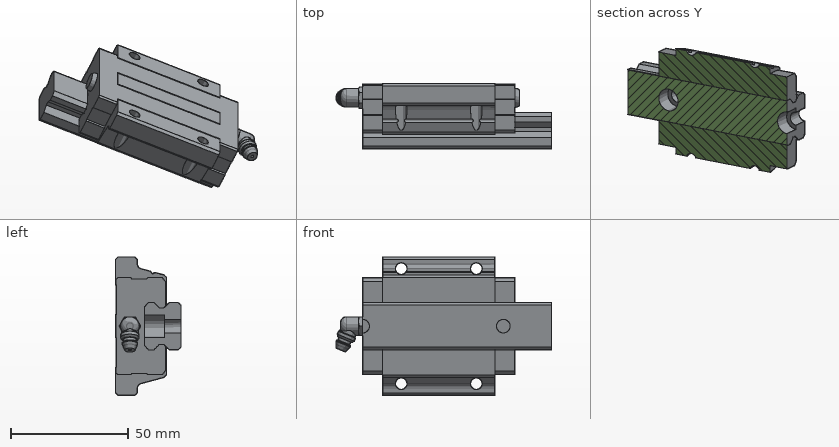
import cadquery as cq
import math


rail_half_width = 10.1
rail_height = 15.5
rail_start = -32.5
rail_end = 48.1
rail_foot_chamfer = 1.2
rail_foot_top = 5.0
groove_bottom_low = 7.45
groove_bottom_high = 9.2
groove_half_width = 7.7
rail_head_low = 11.6
rail_head_chamfer_start = 13.9
rail_head_half_width = 8.3

rail_hole_pitch = 60.0
rail_hole_diameter = 5.8
rail_counterbore_diameter = 9.5
rail_counterbore_floor = 7.0

total_height = 28.0
block_half_length = 23.9
block_half_width = 29.5
block_bottom = 6.2
flange_bottom = 18.6
flange_chamfer = 1.1
flank_angle = 15.0
flank_foot_half_width = 21.9
flank_chamfer = 1.1
flange_fillet = 2.0

relief_depth = 0.3
relief_inner = 4.9
relief_outer = 17.6

reference_groove_radius = 0.7
reference_groove_height = 12.05

flange_hole_diameter = 4.9
flange_hole_spacing_x = 32.0
flange_hole_spacing_z = 49.0

cap_end = -rail_start
cap_top = total_height - relief_depth
cap_bottom = 6.7
cap_half_width = 20.7
cap_top_chamfer = 0.7
cap_bottom_chamfer_height = 1.3
cap_bottom_chamfer_width = 1.7
cap_recess_depth = 0.55
cap_recess_low = 14.2
cap_recess_high = 21.3
cap_recess_step = 0.3

fitting_height = 21.8
hex_across_flats = 8.0
hex_length = 1.75
hex_bevel_length = 0.4
elbow_diameter = 8.0
elbow_end = -41.9
elbow_fillet = 2.6
nipple_tilt = 22.5
nipple_origin_x = -37.6
stem_radius = 3.6
collar_radius = 4.0
collar_foot_radius = 3.3
neck_radius = 2.8
head_radius = 3.3
taper_radius = 2.85
tip_radius = 2.2
grease_hole_diameter = 1.2
grease_hole_depth = 1.8

stem_end = 3.7
collar_start = 4.0
collar_end = 5.3
neck_start = 6.25
neck_end = 7.45
head_start = 7.8
head_end = 8.3
taper_end = 9.5
nipple_length = 11.0

plug_diameter = 8.2
plug_face_diameter = 6.6
plug_length = 2.0


def extrude_along_x(upper_half, x_start, x_end):
    """Solid from x_start to x_end; upper_half lists (y, z) points, mirrored about Z = 0."""
    lower_half = [(y, -z) for y, z in reversed(upper_half)]
    outline = cq.Workplane("YZ", origin=(x_start, 0, 0)).polyline(upper_half + lower_half).close()
    return outline.extrude(x_end - x_start)


def cylinder_along_x(diameter, x_start, x_end):
    """Cylinder on the common axis of the fitting and the plug."""
    plane = cq.Workplane("YZ", origin=(x_start, fitting_height, 0))
    return plane.circle(diameter / 2).extrude(x_end - x_start)


def make_rail_bar():
    """Rail profile without its screw holes."""
    profile = [
        (0, rail_half_width - rail_foot_chamfer),
        (rail_foot_chamfer, rail_half_width),
        (rail_foot_top, rail_half_width),
        (groove_bottom_low, groove_half_width),
        (groove_bottom_high, groove_half_width),
        (rail_head_low, rail_half_width),
        (rail_head_chamfer_start, rail_half_width),
        (rail_height, rail_head_half_width),
    ]
    return extrude_along_x(profile, rail_start, rail_end)


def make_rail():
    """Rail with counterbored screw holes; the first one is halved by the end face."""
    rail = make_rail_bar()
    hole_places = [(rail_start, 0), (rail_start + rail_hole_pitch, 0)]
    foot = cq.Workplane("XZ").pushPoints(hole_places)
    seat = cq.Workplane("XZ", origin=(0, rail_counterbore_floor, 0)).pushPoints(hole_places)
    holes = foot.circle(rail_hole_diameter / 2).extrude(-rail_height)
    counterbores = seat.circle(rail_counterbore_diameter / 2).extrude(rail_counterbore_floor - rail_height)
    return rail.cut(holes).cut(counterbores)


def flank_half_width(height):
    """Half width of the sloped side at a given height."""
    rise = height - (block_bottom + flank_chamfer)
    return flank_foot_half_width + rise * math.tan(math.radians(flank_angle))


def make_block():
    """Flanged middle of the carriage."""
    profile = [
        (block_bottom, flank_foot_half_width - flank_chamfer),
        (block_bottom + flank_chamfer, flank_foot_half_width),
        (flange_bottom, flank_half_width(flange_bottom)),
        (flange_bottom, block_half_width - flange_chamfer),
        (flange_bottom + flange_chamfer, block_half_width),
        (total_height - flange_chamfer, block_half_width),
        (total_height, block_half_width - flange_chamfer),
    ]
    block = extrude_along_x(profile, -block_half_length, block_half_length)

    corner = 0.1
    for side in (1, -1):
        z = side * flank_half_width(flange_bottom)
        selector = cq.selectors.BoxSelector(
            (-corner, flange_bottom - corner, z - corner),
            (corner, flange_bottom + corner, z + corner),
        )
        block = block.edges(selector).fillet(flange_fillet)
    return block


def cut_block_details(block):
    """Mounting face reliefs, the reference groove and the flange screw holes."""
    relief_width = relief_outer - relief_inner
    relief_middle = (relief_outer + relief_inner) / 2
    for side in (1, -1):
        relief = cq.Workplane("XY").box(2 * block_half_length, 2 * relief_depth, relief_width)
        block = block.cut(relief.translate((0, total_height, side * relief_middle)))

    groove_origin = (-block_half_length, reference_groove_height, flank_half_width(reference_groove_height))
    groove = cq.Workplane("YZ", origin=groove_origin).circle(reference_groove_radius)
    block = block.cut(groove.extrude(2 * block_half_length))

    holes = cq.Workplane("XZ").rarray(flange_hole_spacing_x, flange_hole_spacing_z, 2, 2)
    return block.cut(holes.circle(flange_hole_diameter / 2).extrude(-total_height))


def make_cap(x_start, x_end):
    """End cap with a shallow recess along each side."""
    recess_half_width = cap_half_width - cap_recess_depth
    profile = [
        (cap_bottom, cap_half_width - cap_bottom_chamfer_width),
        (cap_bottom + cap_bottom_chamfer_height, cap_half_width),
        (cap_recess_low, cap_half_width),
        (cap_recess_low + cap_recess_depth, recess_half_width),
        (cap_recess_high - cap_recess_step, recess_half_width),
        (cap_recess_high, cap_half_width),
        (cap_top - cap_top_chamfer, cap_half_width),
        (cap_top, cap_half_width - cap_top_chamfer),
    ]
    return extrude_along_x(profile, x_start, x_end)


def make_nipple():
    """Nipple turned about its own axis, leaning in the XZ plane and pointing down."""
    profile = [
        (0, 0),
        (stem_radius, 0),
        (stem_radius, stem_end),
        (collar_radius, collar_start),
        (collar_radius, collar_end),
        (collar_foot_radius, neck_start),
        (neck_radius, neck_start),
        (neck_radius, neck_end),
        (head_radius, head_start),
        (head_radius, head_end),
        (taper_radius, taper_end),
        (tip_radius, nipple_length),
        (0, nipple_length),
    ]
    nipple = cq.Workplane("XY").polyline(profile).close().revolve(360, (0, 0, 0), (0, 1, 0))
    hole = cq.Workplane("XZ", origin=(0, nipple_length, 0)).circle(grease_hole_diameter / 2)
    nipple = nipple.cut(hole.extrude(grease_hole_depth))
    nipple = nipple.rotate((0, 0, 0), (1, 0, 0), -90)
    nipple = nipple.rotate((0, 0, 0), (0, 1, 0), nipple_tilt)
    return nipple.translate((nipple_origin_x, fitting_height, 0))


def make_grease_fitting():
    """Hexagon with bevelled corners on the cap, rounded elbow and leaning nipple."""
    hex_corners_diameter = hex_across_flats / math.cos(math.pi / 6)
    hexagon = cq.Workplane("YZ", origin=(-cap_end - hex_length, fitting_height, 0))
    hexagon = hexagon.polygon(6, hex_corners_diameter).extrude(hex_length)
    bevel_width = (hex_corners_diameter - hex_across_flats) / 2
    bevel = cylinder_along_x(hex_corners_diameter, -cap_end - hex_length, -cap_end)
    bevel = bevel.faces("<X").chamfer(hex_bevel_length, bevel_width)
    hexagon = hexagon.intersect(bevel)
    elbow = cylinder_along_x(elbow_diameter, elbow_end, -cap_end).faces("<X").edges().fillet(elbow_fillet)
    return hexagon.union(elbow).union(make_nipple())


def make_plug():
    """Domed plug on the far cap, opposite the grease fitting."""
    dome_fall = (plug_diameter - plug_face_diameter) / 2
    dome_middle_radius = plug_diameter / 2 - dome_fall / 4
    half_outline = (
        cq.Workplane("XY", origin=(cap_end, fitting_height, 0))
        .lineTo(0, plug_diameter / 2)
        .threePointArc((plug_length / 2, dome_middle_radius), (plug_length, plug_face_diameter / 2))
        .lineTo(plug_length, 0)
        .close()
    )
    return half_outline.revolve(360, (0, 0, 0), (1, 0, 0))


def make_carriage():
    """Block, both end caps, fitting and plug as one body, hollowed to fit around the rail."""
    carriage = cut_block_details(make_block())
    carriage = carriage.union(make_cap(-cap_end, -block_half_length))
    carriage = carriage.union(make_cap(block_half_length, cap_end))
    carriage = carriage.union(make_grease_fitting()).union(make_plug())
    return carriage.cut(make_rail_bar())


rail = make_rail()
carriage = make_carriage()
result = cq.Compound.makeCompound([rail.val(), *carriage.vals()])